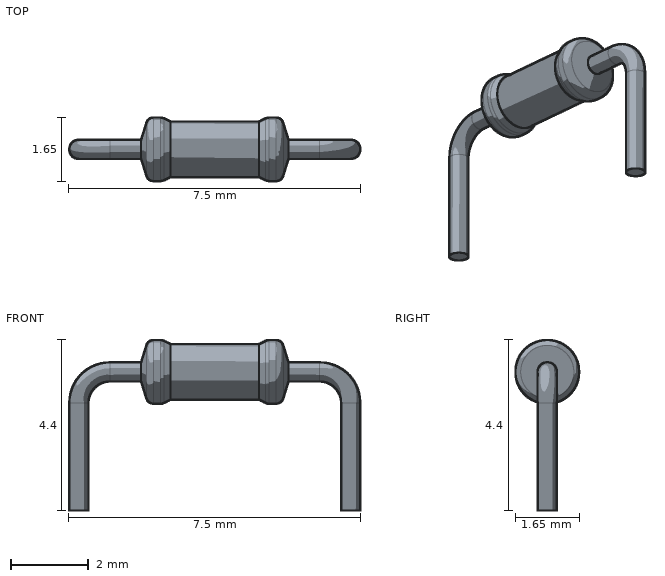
import cadquery as cq

lead_diameter = 0.5
lead_spacing = 7.0
bend_radius = 0.8

cap_diameter = 1.65
barrel_diameter = 1.44
body_length = 3.8
cap_outer_rim_x = 1.72
cap_inner_rim_x = 1.353
shoulder_slope = 0.5
cap_fillet_radius = 0.2

overall_height = 4.4

lead_radius = lead_diameter / 2
cap_radius = cap_diameter / 2
barrel_radius = barrel_diameter / 2
leg_x = lead_spacing / 2
axis_z = overall_height - cap_radius
body_end_x = body_length / 2
barrel_end_x = cap_inner_rim_x - (cap_radius - barrel_radius) / shoulder_slope


def make_body():
    """Barrel with a bulged cap at each end, tapering down to the lead diameter."""
    half_profile = [
        (body_end_x, lead_radius),
        (cap_outer_rim_x, cap_radius),
        (cap_inner_rim_x, cap_radius),
        (barrel_end_x, barrel_radius),
    ]
    mirrored_profile = [(-x, radius) for x, radius in reversed(half_profile)]
    outline = [(body_end_x, 0)] + half_profile + mirrored_profile + [(-body_end_x, 0)]
    body = cq.Workplane("XZ").polyline(outline).close().revolve(360, (0, 0, 0), (1, 0, 0))

    search_width = (cap_outer_rim_x - cap_inner_rim_x) / 4
    for rim_x in (cap_outer_rim_x, cap_inner_rim_x):
        for side in (-1, 1):
            rim = cq.selectors.BoxSelector(
                (side * rim_x - search_width, -cap_diameter, -cap_diameter),
                (side * rim_x + search_width, cap_diameter, cap_diameter),
            )
            body = body.edges(rim).fillet(cap_fillet_radius)
    return body.translate((0, 0, axis_z))


def make_lead_wire():
    """One round wire running through the body and bent down at both ends."""
    bend_start_x = leg_x - bend_radius
    bend_end_z = axis_z - bend_radius
    path = (
        cq.Workplane("XZ")
        .moveTo(-leg_x, 0)
        .lineTo(-leg_x, bend_end_z)
        .radiusArc((-bend_start_x, axis_z), bend_radius)
        .lineTo(bend_start_x, axis_z)
        .radiusArc((leg_x, bend_end_z), bend_radius)
        .lineTo(leg_x, 0)
    )
    return cq.Workplane("XY").center(-leg_x, 0).circle(lead_radius).sweep(path)


result = make_body().union(make_lead_wire())